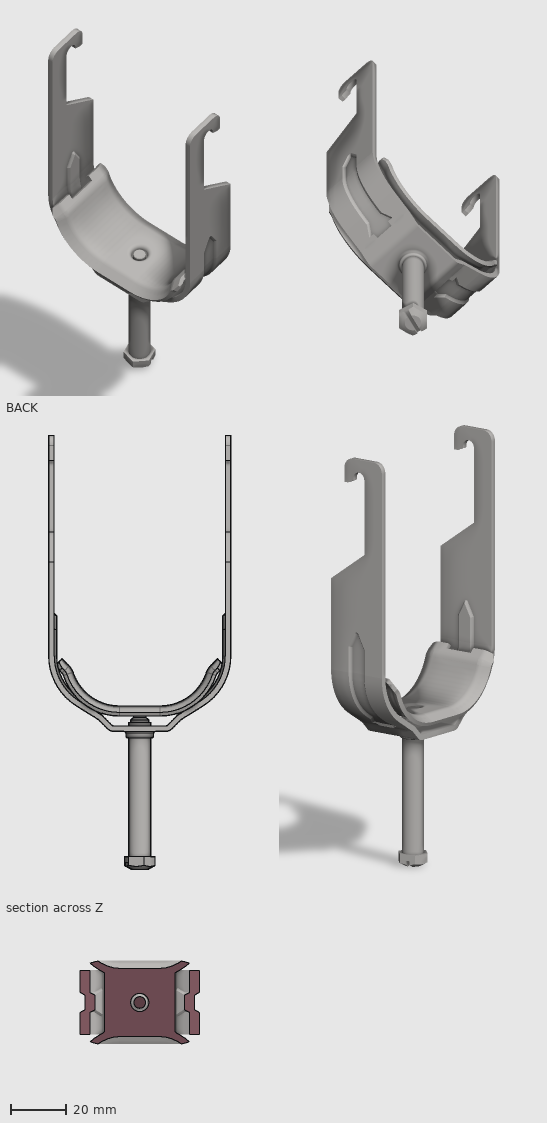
import cadquery as cq
import math

OVERALL_HEIGHT = 156.5

STRAP_SPAN = 65.7
STRAP_WIDTH = 23.3
STRAP_SHEET = 2.0
STRAP_BASE_Z = 49.8
BASE_HALF_LENGTH = 10.6
STEP_RISE = 4.2
STEP_ANGLE = 45.0
FLANK_ANGLE = 32.0
ARM_BEND_RADIUS = 21.3
BASE_BEND_RADIUS = 3.3

HOOK_TIP_Y = 5.5
HOOK_TIP_Z = 147.5
HOOK_TIP_FLAT = 1.5
HOOK_TIP_BEVEL = 1.1
HOOK_CORNER_RADIUS = 3.6
HOOK_SLOT_WIDTH = 5.0
HOOK_SLOT_Y = -1.1
HOOK_SLOT_TOP_Z = 151.8
ARM_NECK_Z = 121.6
ARM_SHOULDER_Z = 110.8

RIB_WIDTH = 7.2
RIB_DEPTH = 1.0
RIB_DRAFT_ANGLE = 45.0
RIB_TIP_Z = 93.5
RIB_TIP_HALF_ANGLE = 28.0
RIB_FLARE_WIDTH = 11.6
RIB_FLARE_START_Z = 58.2
RIB_FLARE_END_Z = 55.1

COLLAR_DIAMETER = 10.0
COLLAR_HEIGHT = 2.3
COLLAR_ROOT_FILLET = 0.8
COLLAR_ROOT_LIP = 0.3
COLLAR_EDGE_FILLET = 0.8

SADDLE_WIDTH = 30.0
SADDLE_SHEET = 1.5
SADDLE_TOP_Z = 59.0
SADDLE_FLAT_HALF_LENGTH = 7.4
SADDLE_RADIUS = 17.5
SADDLE_ARC_ANGLE = 72.0
END_STRAIGHT = 1.4
END_RIM_LENGTH = 5.0
END_RIM_ANGLE = 45.0
SIDE_RIM_LENGTH_Y = 3.9
SIDE_RIM_ANGLE = 31.0
SIDE_BEND_RADIUS = 3.1
END_BEND_RADIUS = 5.6
SADDLE_LENGTH = 59.2
CORNER_BEVEL = 1.5
NOTCH_WIDTH = 11.3
NOTCH_DEPTH = 2.2
SADDLE_HOLE_DIAMETER = 6.0

SHANK_DIAMETER = 8.0
SHANK_TOP_Z = 53.0
SHOULDER_DIAMETER = 6.5
SHOULDER_TOP_Z = 54.0
NECK_DIAMETER = 4.5
NECK_START_Z = 54.8
TIP_DIAMETER = 4.0
TIP_Z = 58.4
HEAD_SIDES = 6
HEAD_FLATS = 10.0
HEAD_HEIGHT = 4.7
HEAD_TURN = 15.0
HEAD_BEVEL_HEIGHT = 1.5
HEAD_END_DIAMETER = 6.0
DRIVE_SLOT_WIDTH = 1.7
DRIVE_SLOT_DEPTH = 2.5


def polar(angle, length=1.0):
    """Vector of the given length at an angle in degrees."""
    return cq.Vector(length * math.cos(math.radians(angle)), length * math.sin(math.radians(angle)))


def bent_edge(corners, radii, offset=0.0):
    """Moves for an open polyline with rounded corners, shifted sideways to its left.

    Returns a list of ("line", end) and ("arc", middle, end); the first "line" is the start point.
    radii holds one radius per inner corner of the unshifted polyline, 0 for a sharp corner.
    """
    points = [cq.Vector(*corner) for corner in corners]
    headings = [(b - a).normalized() for a, b in zip(points, points[1:])]
    normals = [cq.Vector(-h.y, h.x) for h in headings]
    moves = [("line", points[0] + normals[0] * offset)]
    for index, radius in enumerate(radii):
        before, after = headings[index], headings[index + 1]
        half_turn = before.getAngle(after) / 2
        left_turn = before.cross(after).z > 0
        mitre = (normals[index] + normals[index + 1]).normalized() / math.cos(half_turn)
        corner = points[index + 1] + mitre * offset
        bend = radius - offset if left_turn else radius + offset
        if radius == 0:
            moves.append(("line", corner))
            continue
        tangent = bend * math.tan(half_turn)
        inward = (after - before).normalized()
        middle = corner + inward * (bend / math.cos(half_turn) - bend)
        moves.append(("line", corner - before * tangent))
        moves.append(("arc", middle, corner + after * tangent))
    moves.append(("line", points[-1] + normals[-1] * offset))
    return moves


def draw(workplane, moves):
    """Start a wire on the workplane and follow the moves."""
    workplane = workplane.moveTo(moves[0][1].x, moves[0][1].y)
    for move in moves[1:]:
        if move[0] == "line":
            workplane = workplane.lineTo(move[1].x, move[1].y)
        else:
            workplane = workplane.threePointArc((move[1].x, move[1].y), (move[2].x, move[2].y))
    return workplane


def reverse(moves):
    """The same moves walked backwards."""
    nodes = [move[-1] for move in moves]
    backward = [("line", nodes[-1])]
    for index in range(len(moves) - 1, 0, -1):
        backward.append((*moves[index][:-1], nodes[index - 1]))
    return backward


def band(corners, radii, inner, outer, width):
    """Strip between two offsets of a bent edge, centred on the XZ plane."""
    moves = bent_edge(corners, radii, inner)
    back = reverse(bent_edge(corners, radii, outer))
    return draw(cq.Workplane("XZ"), moves + back).close().extrude(width / 2, both=True)


def both_sides(half):
    """A body of the +X half joined with its mirror image."""
    return half.union(half.mirror("YZ"))


STEP_TOP_X = BASE_HALF_LENGTH + STEP_RISE / math.tan(math.radians(STEP_ANGLE))
STEP_TOP_Z = STRAP_BASE_Z + STEP_RISE
STRAP_HALF_SPAN = STRAP_SPAN / 2
ARM_CORNER_Z = STEP_TOP_Z + (STRAP_HALF_SPAN - STEP_TOP_X) * math.tan(math.radians(FLANK_ANGLE))

STRAP_EDGE = [
    (0, STRAP_BASE_Z),
    (BASE_HALF_LENGTH, STRAP_BASE_Z),
    (STEP_TOP_X, STEP_TOP_Z),
    (STRAP_HALF_SPAN, ARM_CORNER_Z),
    (STRAP_HALF_SPAN, OVERALL_HEIGHT),
]
STRAP_BENDS = [BASE_BEND_RADIUS, 0, ARM_BEND_RADIUS]


def arm_outline():
    """Side shape of strap and hooks, extruded across the whole span."""
    edge = STRAP_WIDTH / 2
    slot_radius = HOOK_SLOT_WIDTH / 2
    slot_outer = HOOK_SLOT_Y + slot_radius
    slot_inner = HOOK_SLOT_Y - slot_radius
    slot_centre_z = HOOK_SLOT_TOP_Z - slot_radius
    outline = (
        cq.Workplane("YZ")
        .moveTo(-edge, 0)
        .lineTo(-edge, OVERALL_HEIGHT)
        .lineTo(HOOK_TIP_Y, OVERALL_HEIGHT)
        .lineTo(HOOK_TIP_Y, HOOK_TIP_Z)
        .lineTo(HOOK_TIP_Y - HOOK_TIP_FLAT, HOOK_TIP_Z)
        .lineTo(slot_outer, HOOK_TIP_Z + HOOK_TIP_BEVEL)
        .lineTo(slot_outer, slot_centre_z)
        .threePointArc((HOOK_SLOT_Y, HOOK_SLOT_TOP_Z), (slot_inner, slot_centre_z))
        .lineTo(slot_inner, ARM_NECK_Z)
        .lineTo(edge, ARM_SHOULDER_Z)
        .lineTo(edge, 0)
        .close()
        .extrude(STRAP_HALF_SPAN, both=True)
    )
    return outline.faces(">Z").edges("|X").fillet(HOOK_CORNER_RADIUS)


def rib_tip_limit(floor_offset):
    """Pointed upper limit of the rib, drafted outwards from the rib floor."""
    half_angle = math.radians(RIB_TIP_HALF_ANGLE)
    floor_tip_z = RIB_TIP_Z - RIB_DEPTH / math.sin(half_angle)
    half_base = floor_tip_z * math.tan(half_angle)
    floor_x = STRAP_HALF_SPAN - floor_offset
    points = [(0, floor_tip_z), (half_base, 0), (-half_base, 0)]
    plane = cq.Workplane("YZ", origin=(floor_x, 0, 0))
    drafted = plane.polyline(points).close().extrude(2 * STRAP_SHEET + RIB_DEPTH, taper=-RIB_DRAFT_ANGLE)
    straight = plane.polyline(points).close().extrude(-floor_x)
    return drafted.union(straight)


def rib_flare():
    """Lower end of the rib: it widens, then drops to a straight foot."""
    start, end, foot = RIB_WIDTH / 2 - RIB_DEPTH, RIB_FLARE_WIDTH / 2, RIB_WIDTH / 2
    points = [(0, RIB_FLARE_START_Z), (start, RIB_FLARE_START_Z), (end, RIB_FLARE_END_Z),
              (foot, RIB_FLARE_END_Z), (foot, STRAP_BASE_Z), (0, STRAP_BASE_Z)]
    half = cq.Workplane("YZ").polyline(points).close().extrude(STRAP_SPAN)
    return half.union(half.mirror("XZ"))


def rib_body(floor_offset, outer_offset):
    """Rib between its floor and an offset further out, both measured inwards from the strap edge."""
    edge, bends = STRAP_EDGE[2:], STRAP_BENDS[2:]
    strip = band(edge, bends, outer_offset, floor_offset, RIB_WIDTH)
    strip = strip.faces("<Y or >Y").edges().chamfer(RIB_DEPTH)
    flare = band(edge, bends, outer_offset, floor_offset, RIB_FLARE_WIDTH).intersect(rib_flare())
    return strip.intersect(rib_tip_limit(floor_offset)).union(flare)


def collar():
    """Turned collar with a flared root and a rounded lower edge, before drilling."""
    radius = COLLAR_DIAMETER / 2
    low_z = STRAP_BASE_Z - COLLAR_HEIGHT
    root = radius + COLLAR_ROOT_FILLET + COLLAR_ROOT_LIP
    outline = [(0, low_z), (radius, low_z), (radius, STRAP_BASE_Z), (root, STRAP_BASE_Z)]
    moves = bent_edge(outline, [COLLAR_EDGE_FILLET, COLLAR_ROOT_FILLET])
    top = [("line", cq.Vector(0, STRAP_BASE_Z))]
    return draw(cq.Workplane("XZ"), moves + top).close().revolve(360, (0, 0), (0, 1))


def build_strap():
    """U-shaped strap with ribs, collar and screw hole."""
    half = band(STRAP_EDGE, STRAP_BENDS, 0, STRAP_SHEET, STRAP_WIDTH)
    half = half.intersect(arm_outline())
    half = half.union(rib_body(STRAP_SHEET + RIB_DEPTH, 0))
    half = half.cut(rib_body(RIB_DEPTH, -STRAP_SHEET))
    hole = cq.Workplane("XY").circle(SHANK_DIAMETER / 2).extrude(STRAP_BASE_Z + 2 * STRAP_SHEET)
    return both_sides(half).union(collar()).cut(hole)


ARC_CENTRE_Z = SADDLE_TOP_Z + SADDLE_RADIUS
ARC_CORNER = cq.Vector(
    SADDLE_FLAT_HALF_LENGTH + SADDLE_RADIUS * math.tan(math.radians(SADDLE_ARC_ANGLE / 2)), SADDLE_TOP_Z
)
ARC_END = (
    cq.Vector(SADDLE_FLAT_HALF_LENGTH, ARC_CENTRE_Z) + polar(SADDLE_ARC_ANGLE - 90, SADDLE_RADIUS)
)
END_CORNER = ARC_END + polar(SADDLE_ARC_ANGLE, END_STRAIGHT)
END_EDGE = END_CORNER + polar(END_RIM_ANGLE, END_RIM_LENGTH)

SADDLE_EDGE = [
    (0, SADDLE_TOP_Z),
    (ARC_CORNER.x, ARC_CORNER.y),
    (END_CORNER.x, END_CORNER.y),
    (END_EDGE.x, END_EDGE.y),
]
SADDLE_BENDS = [SADDLE_RADIUS, END_BEND_RADIUS]

RIM_EDGE_Y = SADDLE_WIDTH / 2
RIM_CORNER_Y = RIM_EDGE_Y - SIDE_RIM_LENGTH_Y
RIM_EDGE_Z = SADDLE_TOP_Z - SIDE_RIM_LENGTH_Y * math.tan(math.radians(SIDE_RIM_ANGLE))
SADDLE_SECTION = [
    (-RIM_EDGE_Y, RIM_EDGE_Z),
    (-RIM_CORNER_Y, SADDLE_TOP_Z),
    (RIM_CORNER_Y, SADDLE_TOP_Z),
    (RIM_EDGE_Y, RIM_EDGE_Z),
]


def saddle_shell():
    """Cross section carried along the length of the +X half."""
    bends = [SIDE_BEND_RADIUS] * 2
    upper = bent_edge(SADDLE_SECTION, bends)
    lower = reverse(bent_edge(SADDLE_SECTION, bends, -SADDLE_SHEET))
    path = draw(cq.Workplane("XZ"), bent_edge(SADDLE_EDGE, SADDLE_BENDS))
    return draw(cq.Workplane("YZ"), upper + lower).close().sweep(path)


def saddle_plan():
    """Upright prism with the plan outline of the saddle and its bevelled corners."""
    block = cq.Workplane("XY").rect(SADDLE_LENGTH, SADDLE_WIDTH).extrude(OVERALL_HEIGHT)
    return block.edges("|Z").chamfer(CORNER_BEVEL)


def saddle_notch():
    """Clearance for the rib, cut square through the end rim."""
    return (
        cq.Workplane("XY")
        .box(2 * NOTCH_DEPTH, NOTCH_WIDTH, 4 * SADDLE_SHEET)
        .rotate((0, 0, 0), (0, 1, 0), -END_RIM_ANGLE)
        .translate((END_EDGE.x, 0, END_EDGE.y))
    )


def saddle_hole():
    """Hole whose rim is rounded over the full sheet thickness."""
    hole = SADDLE_HOLE_DIAMETER / 2
    bottom_z = SADDLE_TOP_Z - SADDLE_SHEET
    middle = cq.Vector(hole + SADDLE_SHEET, bottom_z) + polar(135, SADDLE_SHEET)
    return (
        cq.Workplane("XZ")
        .moveTo(0, bottom_z - SADDLE_SHEET)
        .lineTo(hole, bottom_z - SADDLE_SHEET)
        .lineTo(hole, bottom_z)
        .threePointArc((middle.x, middle.y), (hole + SADDLE_SHEET, SADDLE_TOP_Z))
        .lineTo(0, SADDLE_TOP_Z)
        .close()
        .revolve(360, (0, 0), (0, 1))
    )


def build_saddle():
    """Saddle with a notch at each end and the hole for the screw tip."""
    half = saddle_shell().intersect(saddle_plan()).cut(saddle_notch())
    return both_sides(half).cut(saddle_hole())


def build_screw():
    """Screw with a slotted hexagon head at the bottom and a stepped tip."""
    shank = (
        cq.Workplane("XZ")
        .moveTo(0, HEAD_HEIGHT)
        .lineTo(SHANK_DIAMETER / 2, HEAD_HEIGHT)
        .lineTo(SHANK_DIAMETER / 2, SHANK_TOP_Z)
        .lineTo(SHOULDER_DIAMETER / 2, SHANK_TOP_Z)
        .lineTo(SHOULDER_DIAMETER / 2, SHOULDER_TOP_Z)
        .lineTo(NECK_DIAMETER / 2, NECK_START_Z)
        .lineTo(NECK_DIAMETER / 2, TIP_Z - (NECK_DIAMETER - TIP_DIAMETER) / 2)
        .lineTo(TIP_DIAMETER / 2, TIP_Z)
        .lineTo(0, TIP_Z)
        .close()
        .revolve(360, (0, 0), (0, 1))
    )
    half_side_angle = 180 / HEAD_SIDES
    head_corners = HEAD_FLATS / math.cos(math.radians(half_side_angle))
    bevel = (
        cq.Workplane("XZ")
        .polyline([(0, 0), (HEAD_END_DIAMETER / 2, 0), (head_corners / 2, HEAD_BEVEL_HEIGHT),
                   (head_corners / 2, HEAD_HEIGHT), (0, HEAD_HEIGHT)])
        .close()
        .revolve(360, (0, 0), (0, 1))
    )
    head = cq.Workplane("XY").polygon(HEAD_SIDES, head_corners).extrude(HEAD_HEIGHT)
    head = head.rotate((0, 0, 0), (0, 0, 1), half_side_angle).intersect(bevel)
    slot = cq.Workplane("XY").rect(2 * HEAD_FLATS, DRIVE_SLOT_WIDTH).extrude(DRIVE_SLOT_DEPTH)
    head = head.cut(slot).rotate((0, 0, 0), (0, 0, 1), HEAD_TURN)
    return head.union(shank)


strap = build_strap()
saddle = build_saddle()
screw = build_screw()

result = cq.Compound.makeCompound([strap.val(), saddle.val(), screw.val()])